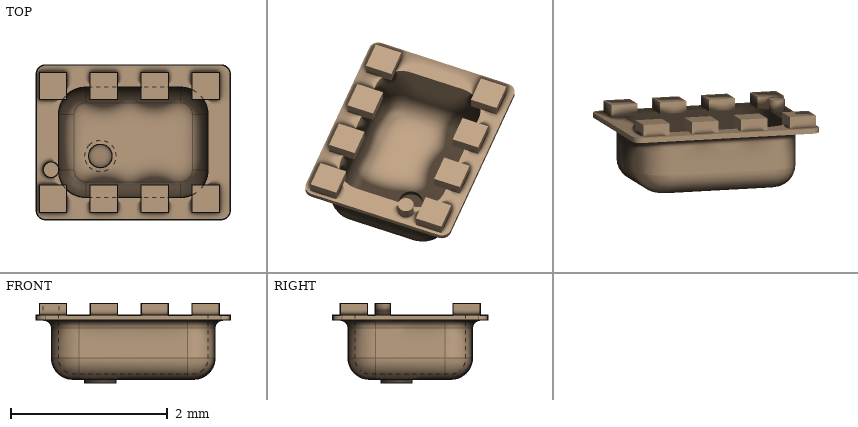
import cadquery as cq

flange_length = 2.48
flange_width = 1.98
flange_thickness = 0.065
flange_corner_radius = 0.12

cup_length = 2.09
cup_width = 1.59
cup_depth = 0.82
wall = 0.09
floor_thickness = flange_thickness
cup_corner_radius = 0.35
outer_bottom_radius = 0.275
inner_bottom_radius = 0.2
neck_radius = 0.1

pad_size = 0.35
pad_height = 0.15
pad_pitch = 0.65
pads_per_row = 4
pad_row_offset_x = -0.05
pad_row_y = 0.72

pin_diameter = 0.2
pin_x = -1.05
pin_y = -0.35

port_x = -0.42
port_y = -0.175
port_diameter = 0.3
disc_diameter = 0.4
disc_thickness = 0.05


def rounded_block(length, width, height, corner_radius, top_z):
    """Rectangular block with rounded vertical edges, extending down from top_z."""
    return (
        cq.Workplane("XY", origin=(0, 0, top_z))
        .rect(length, width)
        .extrude(-height)
        .edges("|Z")
        .fillet(corner_radius)
    )


def make_shell():
    """Flange and cup, blended at the neck and hollowed from above."""
    flange = rounded_block(flange_length, flange_width, flange_thickness, flange_corner_radius, 0)
    cup = rounded_block(
        cup_length, cup_width, cup_depth - flange_thickness, cup_corner_radius, -flange_thickness
    ).faces("<Z").edges().fillet(outer_bottom_radius)
    margin = flange_thickness / 2
    zone_x = cup_length / 2 + margin
    zone_y = cup_width / 2 + margin
    neck_zone = cq.selectors.BoxSelector(
        (-zone_x, -zone_y, -flange_thickness - margin),
        (zone_x, zone_y, -flange_thickness + margin),
        boundingbox=True,
    )
    body = flange.union(cup).edges(neck_zone).fillet(neck_radius)
    cavity = rounded_block(
        cup_length - 2 * wall, cup_width - 2 * wall, cup_depth - floor_thickness, cup_corner_radius, 0
    ).faces("<Z").edges().fillet(inner_bottom_radius)
    return body.cut(cavity)


def make_pads():
    """Two rows of square pads, overhanging the cavity edge."""
    first_x = pad_row_offset_x - pad_pitch * (pads_per_row - 1) / 2
    centers = [
        (first_x + column * pad_pitch, y)
        for column in range(pads_per_row)
        for y in (-pad_row_y, pad_row_y)
    ]
    return cq.Workplane("XY").pushPoints(centers).rect(pad_size, pad_size).extrude(pad_height)


def make_pin():
    """Round pin on the flange, as tall as the pads."""
    return cq.Workplane("XY").center(pin_x, pin_y).circle(pin_diameter / 2).extrude(pad_height)


def make_port_hole():
    """Hole through the cup floor, ending at the disc."""
    floor = cq.Workplane("XY", origin=(port_x, port_y, -cup_depth))
    return floor.circle(port_diameter / 2).extrude(floor_thickness)


def make_port_disc():
    """Disc under the cup that closes the port."""
    floor = cq.Workplane("XY", origin=(port_x, port_y, -cup_depth))
    return floor.circle(disc_diameter / 2).extrude(-disc_thickness)


shell = make_shell().cut(make_port_hole())
result = shell.union(make_port_disc()).union(make_pads()).union(make_pin())